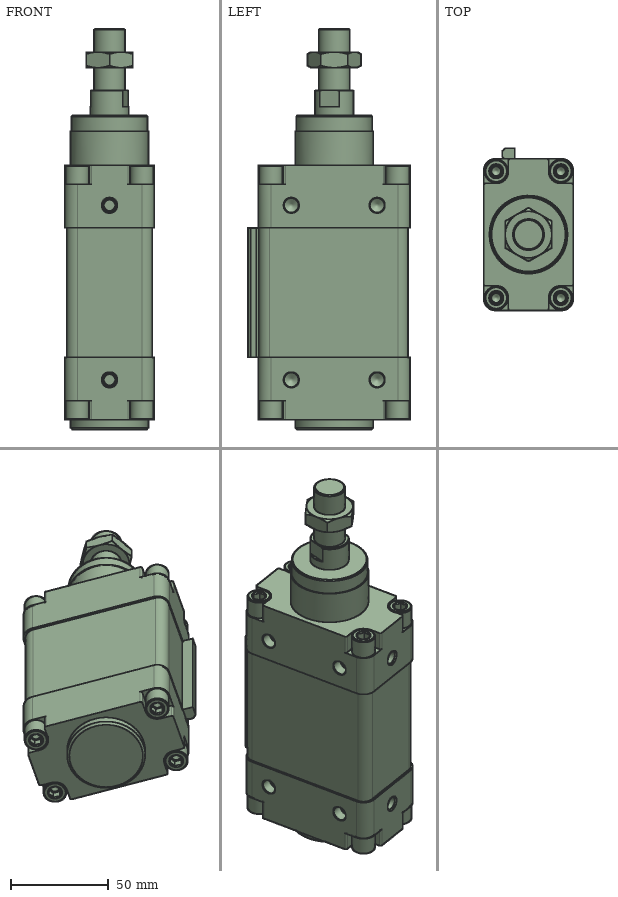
import cadquery as cq
import math

total_height = 205.5
end_boss_height = 5.1
cap_height = 32.0
barrel_length = 66.4
nose_base_height = 17.5
nose_tip_height = 8.0
thread_length = 31.5
nut_top_drop = 12.0
nut_height = 8.0

barrel_base = end_boss_height + cap_height
upper_cap_base = barrel_base + barrel_length
upper_cap_top = upper_cap_base + cap_height
nose_step = upper_cap_top + nose_base_height
nose_top = nose_step + nose_tip_height
shoulder_level = total_height - thread_length
nut_base = total_height - nut_top_drop - nut_height
caps_middle = (end_boss_height + upper_cap_top) / 2

cap_width = 46.0
cap_depth = 77.9
cap_corner_radius = 6.4
cap_side = cap_width / 2
cap_face = cap_depth / 2

barrel_inset = 1.0
barrel_back_inset = 0.5
barrel_corner_radius = cap_corner_radius - barrel_inset

boss_diameter = 40.0
boss_chamfer = 1.2
nose_tip_diameter = 39.0
nose_chamfer = 0.6

screw_pitch_x = 33.0
screw_pitch_y = 65.0
screw_head_diameter = 12.0
screw_top_diameter = 10.9
pocket_diameter = 12.5
pocket_height = 9.9
pocket_lip_radius = 1.0
socket_mouth_diameter = 7.5
socket_across_flats = 6.0
socket_depth = 5.0
socket_bore_diameter = 5.0

screw_x = screw_pitch_x / 2
screw_y = screw_pitch_y / 2

hole_mouth_diameter = 8.0
hole_to_barrel = 11.5
side_hole_pitch = 44.0
side_hole_diameter = 7.5
side_hole_depth = 6.2
port_diameter = 6.5
port_depth = 6.2
port_bore_diameter = 5.8
port_bore_depth = 12.3
drill_tip_half_angle = 59.0

overall_depth = 83.2
rail_left = -13.5
rail_right = -7.0
rail_tip = overall_depth - cap_face
rail_tip_chamfer = 1.6
rail_side_length = 2.7

rod_diameter = 20.0
thread_diameter = 16.0
rod_chamfer = 0.6
shoulder_chamfer = 0.5
rod_across_flats = 17.0
rod_flat_length = 8.5
rod_flat_angle = -16.5
nut_across_flats = 23.8
nut_chamfer_angle = 30.0


def cylinder(diameter, base, height):
    return cq.Workplane("XY").workplane(offset=base).circle(diameter / 2).extrude(height)


def hexagon(across_flats, base, height):
    """Hexagonal prism with two corners on the Y axis."""
    corner_circle = across_flats / math.cos(math.radians(30))
    prism = cq.Workplane("XY").workplane(offset=base).polygon(6, corner_circle).extrude(height)
    return prism.rotate((0, 0, 0), (0, 0, 1), 30)


def drilled_hole(diameter, depth):
    """Cutter below Z = 0: straight wall ending in a drill-point cone."""
    radius = diameter / 2
    tip_depth = depth + radius / math.tan(math.radians(drill_tip_half_angle))
    profile = [(0, 0), (radius, 0), (radius, -depth), (0, -tip_depth)]
    return cq.Workplane("XZ").polyline(profile).close().revolve(360, (0, 0, 0), (0, 1, 0))


def countersink(mouth_diameter, diameter):
    """Cutter below Z = 0: 45 degree cone narrowing from the mouth to the hole."""
    depth = (mouth_diameter - diameter) / 2
    return cq.Workplane("XY").circle(mouth_diameter / 2).extrude(-depth, taper=45)


def in_four_corners(shape):
    across = shape.union(shape.mirror("YZ"))
    return across.union(across.mirror("XZ"))


def make_cap(base):
    cap = cq.Workplane("XY").workplane(offset=base).rect(cap_width, cap_depth).extrude(cap_height)
    return cap.edges("|Z").fillet(cap_corner_radius)


def make_barrel():
    width = cap_width - 2 * barrel_inset
    depth = cap_depth - barrel_inset - barrel_back_inset
    barrel = (
        cq.Workplane("XY")
        .workplane(offset=barrel_base)
        .center(0, (barrel_inset - barrel_back_inset) / 2)
        .rect(width, depth)
        .extrude(barrel_length)
    )
    return barrel.edges("|Z").fillet(barrel_corner_radius)


def make_rail():
    root = cap_face - barrel_back_inset
    waist = rail_tip - rail_tip_chamfer - rail_side_length
    outline = [
        (rail_right, root),
        (rail_right, rail_tip),
        (rail_left + rail_tip_chamfer, rail_tip),
        (rail_left, rail_tip - rail_tip_chamfer),
        (rail_left, waist),
        (rail_left + waist - root, root),
    ]
    return cq.Workplane("XY").workplane(offset=barrel_base).polyline(outline).close().extrude(barrel_length)


def make_pocket():
    """Notch in the +X +Y corner of the upper cap, rounded around the screw, with rounded lips."""
    radius = pocket_diameter / 2
    lip = pocket_lip_radius
    wall_x = screw_x - radius
    wall_y = screw_y - radius
    diagonal = radius * math.cos(math.radians(45))
    return (
        cq.Workplane("XY")
        .workplane(offset=upper_cap_top - pocket_height)
        .moveTo(wall_x - lip, cap_face)
        .radiusArc((wall_x, cap_face - lip), lip)
        .lineTo(wall_x, screw_y)
        .threePointArc((screw_x - diagonal, screw_y - diagonal), (screw_x, wall_y))
        .lineTo(cap_side - lip, wall_y)
        .radiusArc((cap_side, wall_y - lip), lip)
        .lineTo(cap_side, cap_face)
        .close()
        .extrude(pocket_height)
    )


def make_screw_head():
    rim = (screw_head_diameter - screw_top_diameter) / 2
    head = cylinder(screw_head_diameter, -pocket_height, pocket_height)
    head = head.faces(">Z").edges().chamfer(rim)
    head = head.cut(countersink(socket_mouth_diameter, socket_across_flats))
    head = head.cut(hexagon(socket_across_flats, -socket_depth, socket_depth))
    head = head.cut(drilled_hole(socket_bore_diameter, socket_depth))
    return head.translate((screw_x, screw_y, upper_cap_top))


def on_both_caps(shape):
    """Adds the mirror image about the plane halfway between the two caps."""
    return shape.union(shape.mirror("XY", (0, 0, caps_middle)))


def make_wall_holes():
    """Two tapped side holes and one port in the upper cap."""
    level = upper_cap_base + hole_to_barrel
    side_hole = drilled_hole(side_hole_diameter, side_hole_depth)
    side_hole = side_hole.union(countersink(hole_mouth_diameter, side_hole_diameter))
    side_hole = side_hole.rotate((0, 0, 0), (0, 1, 0), -90).translate((-cap_side, side_hole_pitch / 2, level))
    port = cylinder(port_diameter, -port_depth, port_depth)
    port = port.union(countersink(hole_mouth_diameter, port_diameter))
    port = port.union(cylinder(port_bore_diameter, -port_bore_depth, port_bore_depth))
    port = port.rotate((0, 0, 0), (1, 0, 0), 90).translate((0, -cap_face, level))
    return side_hole.union(side_hole.mirror("XZ")).union(port)


def make_housing():
    boss = cylinder(boss_diameter, 0, end_boss_height).faces("<Z").edges().chamfer(boss_chamfer)
    nose = cylinder(boss_diameter, upper_cap_top, nose_base_height)
    tip = cylinder(nose_tip_diameter, nose_step, nose_tip_height).faces(">Z").edges().chamfer(nose_chamfer)
    housing = make_barrel().union(make_rail())
    housing = housing.union(make_cap(end_boss_height)).union(make_cap(upper_cap_base))
    housing = housing.cut(on_both_caps(in_four_corners(make_pocket())))
    housing = housing.union(on_both_caps(in_four_corners(make_screw_head())))
    housing = housing.cut(on_both_caps(make_wall_holes()))
    return housing.union(boss).union(nose).union(tip)


def make_rod():
    """Rod standing on the nose, with two wrench flats below its threaded end."""
    shank = cylinder(rod_diameter, nose_top, shoulder_level - nose_top)
    shank = shank.faces(">Z").edges().chamfer(shoulder_chamfer)
    flat_base = shoulder_level - rod_flat_length
    cutter = cq.Workplane("XY").workplane(offset=flat_base).rect(2 * rod_diameter, 2 * rod_diameter)
    cutter = cutter.rect(rod_across_flats, 2 * rod_diameter).extrude(rod_flat_length)
    shank = shank.cut(cutter.rotate((0, 0, 0), (0, 0, 1), rod_flat_angle))
    thread = cylinder(thread_diameter, shoulder_level, thread_length)
    return shank.union(thread.faces(">Z").edges().chamfer(rod_chamfer))


def make_nut():
    """Hexagon nut with conical chamfers on both faces."""
    corner_radius = nut_across_flats / 2 / math.cos(math.radians(30))
    rim = corner_radius - nut_across_flats / 2
    drop = rim * math.tan(math.radians(nut_chamfer_angle))
    envelope = cylinder(2 * corner_radius, nut_base, nut_height)
    envelope = envelope.faces(">Z").edges().chamfer(drop, rim)
    envelope = envelope.faces("<Z").edges().chamfer(drop, rim)
    nut = hexagon(nut_across_flats, nut_base, nut_height).intersect(envelope)
    return nut.cut(cylinder(thread_diameter, nut_base, nut_height))


housing = make_housing()
piston_rod = make_rod()
nut = make_nut()

result = cq.Compound.makeCompound([housing.val(), piston_rod.val(), nut.val()])